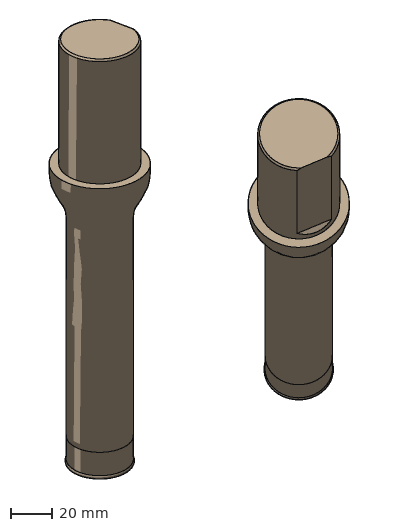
import cadquery as cq

total_length = 240.0

shank_length = 70.0
shank_diameter = 40.0
shank_chamfer = 1.0
flat_distance = 17.8
flat_start_height = 5.5
flat_runout_height = 3.4

flange_diameter = 49.5
flange_thickness = 5.0
neck_length = 5.0
neck_diameter = 32.9
neck_top = 139.7
flare_bend_radius = 19.5
flare_bend_height = 150.0

stem_diameter = 33.0
stem_taper_start = 84.2
stem_bottom = 19.0
head_length = 16.0
head_diameter = 32.9
collar_diameter = 33.8
collar_top = 2.9
collar_crest_height = 1.7
tip_face_radius = 15.8
tip_face_height = 0.7

axial_direction = (0, 1)

flange_top = total_length - shank_length
flange_bottom = flange_top - flange_thickness
neck_bottom = neck_top - neck_length
shank_radius = shank_diameter / 2
flange_radius = flange_diameter / 2
neck_radius = neck_diameter / 2
stem_radius = stem_diameter / 2
head_radius = head_diameter / 2
collar_radius = collar_diameter / 2


def revolve_about_z(profile):
    """Turn a closed radius-height profile into a solid about Z."""
    return profile.close().revolve(360, (0, 0, 0), (0, 1, 0))


def make_flat_cutter():
    """Block outside the shank flat, with a sloped run-out at its lower end."""
    runout_slope = (flat_start_height - flat_runout_height) / (shank_radius - flat_distance)
    flange_y = flat_distance + flat_start_height / runout_slope
    return (
        cq.Workplane("YZ")
        .moveTo(flat_distance, flange_top + flat_start_height)
        .lineTo(flange_y, flange_top)
        .lineTo(flange_y, total_length)
        .lineTo(flat_distance, total_length)
        .close()
        .extrude(shank_radius, both=True)
    )


def make_holder():
    """Shank, flange, flared neck and stem, seated on top of the cutting head."""
    lower = revolve_about_z(
        cq.Workplane("XZ")
        .moveTo(0, head_length)
        .lineTo(head_radius, head_length)
        .lineTo(stem_radius, stem_bottom)
        .lineTo(stem_radius, stem_taper_start)
        .lineTo(neck_radius, neck_bottom)
        .lineTo(neck_radius, neck_top)
        .spline(
            [(flare_bend_radius, flare_bend_height), (flange_radius, flange_bottom)],
            tangents=[axial_direction, axial_direction],
            includeCurrent=True,
        )
        .lineTo(flange_radius, flange_top)
        .lineTo(0, flange_top)
    )
    shank = (
        cq.Workplane("XY")
        .workplane(offset=flange_top)
        .circle(shank_radius)
        .extrude(shank_length)
        .faces(">Z")
        .chamfer(shank_chamfer)
        .cut(make_flat_cutter())
    )
    return lower.union(shank)


def make_cutting_head():
    """Cylindrical head with a rounded cutting collar and a shallow conical tip."""
    return revolve_about_z(
        cq.Workplane("XZ")
        .lineTo(tip_face_radius, tip_face_height)
        .threePointArc((collar_radius, collar_crest_height), (head_radius, collar_top))
        .lineTo(head_radius, head_length)
        .lineTo(0, head_length)
    )


holder = make_holder()
cutting_head = make_cutting_head()

result = cq.Compound.makeCompound([holder.val(), cutting_head.val()])